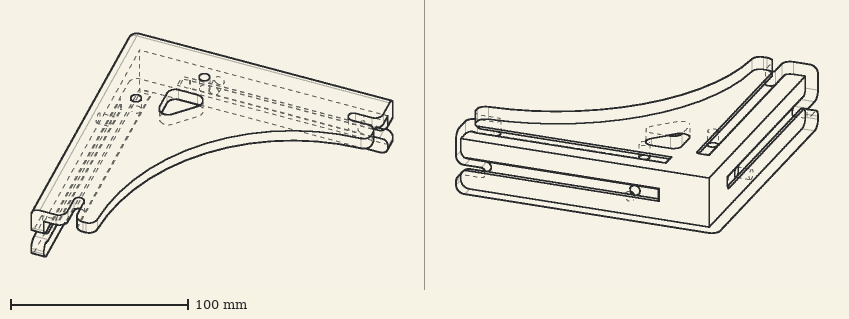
import cadquery as cq
import math


arm_length = 158.0
height = 38.0
thickness = 7.7
outer_round = 5.0
tip_round = 5.0
arm_width = height
cutout_radius = arm_length - arm_width

hole_diameter = 6.0
slot_width = hole_diameter
line_offset = 23.0
hole_position = 53.0
slot_position = 143.0

rib_height = 1.0
rib_width = slot_width + 2 * rib_height
rib_start = 37.9

window_offset = 37.9
window_leg = 28.6
window_round = 5.0


def mirror_to_other_arm(shape):
    """Reflect a shape about the plane y = -x."""
    origin = (0, 0, 0)
    return shape.mirror("XZ").rotate(origin, (0, 0, 1), -90)


def plate_plane(z):
    """Plane facing down at height z, on the centre line of the X arm."""
    return cq.Plane(origin=(0, -line_offset, z), xDir=(1, 0, 0), normal=(0, 0, -1))


def wall_plane(y):
    """Plane facing -Y at depth y, on the centre line of the wall along X."""
    return cq.Plane(origin=(0, y, height - line_offset), xDir=(1, 0, 0), normal=(0, -1, 0))


def make_body():
    body = cq.Workplane("XY").box(arm_length, arm_length, height, centered=False)
    body = body.translate((0, -arm_length, 0))
    outer_edges = "(<X and >Y) or (<X and >Z) or (>Y and >Z)"
    body = body.edges(outer_edges).fillet(outer_round)

    inside = cq.Workplane("XY").box(arm_length, arm_length, height - thickness, centered=False)
    body = body.cut(inside.translate((thickness, -arm_length - thickness, 0)))

    cutout = cq.Workplane("XY").center(arm_length, -arm_length).circle(cutout_radius).extrude(height)
    body = body.cut(cutout)

    plate_middle = height - thickness / 2
    plate_tips = [
        (arm_length, -arm_width, plate_middle),
        (arm_width, -arm_length, plate_middle),
    ]
    wall_tips = [(arm_length, -thickness / 2, 0), (thickness / 2, -arm_length, 0)]
    for tip in plate_tips + wall_tips:
        body = body.edges(cq.selectors.NearestToPointSelector(tip)).fillet(tip_round)
    return body


def make_rib(base_plane):
    """Rib with 45 degree sides and inner end, running square out to the arm's end."""
    length = arm_length - rib_start
    tapered_length = length + rib_height
    rib = (
        cq.Workplane(base_plane)
        .center(rib_start + tapered_length / 2, 0)
        .rect(tapered_length, rib_width)
        .extrude(rib_height, taper=45)
    )
    beyond_end = cq.Workplane("YZ", origin=(arm_length, 0, 0))
    overrun = beyond_end.rect(2 * arm_length, 2 * arm_length).extrude(rib_height)
    return rib.cut(overrun)


def make_openings(base_plane):
    """Hole and flared open slot, cut through one plate or wall and its rib."""
    depth = thickness + rib_height
    half = slot_width / 2
    flare_start = arm_length - tip_round
    flare_half = half + tip_round
    arc_along = flare_start + tip_round * math.sin(math.pi / 4)
    arc_across = flare_half - tip_round * math.cos(math.pi / 4)
    slot = (
        cq.Workplane(base_plane)
        .moveTo(slot_position, half)
        .lineTo(flare_start, half)
        .threePointArc((arc_along, arc_across), (arm_length, flare_half))
        .lineTo(arm_length, -flare_half)
        .threePointArc((arc_along, -arc_across), (flare_start, -half))
        .lineTo(slot_position, -half)
        .threePointArc((slot_position - half, 0), (slot_position, half))
        .close()
        .extrude(depth)
    )
    hole = cq.Workplane(base_plane).center(hole_position, 0).circle(hole_diameter / 2).extrude(depth)
    return slot.union(hole)


def make_window():
    near = window_offset
    far = window_offset + window_leg
    window = cq.Workplane("XY").polyline([(near, -near), (far, -near), (near, -far)]).close()
    return window.extrude(height).edges("|Z").fillet(window_round)


ribs = make_rib(plate_plane(height - thickness)).union(make_rib(wall_plane(-thickness)))
openings = make_openings(plate_plane(height)).union(make_openings(wall_plane(0)))

result = make_body()
result = result.union(ribs).union(mirror_to_other_arm(ribs))
result = result.cut(openings).cut(mirror_to_other_arm(openings))
result = result.cut(make_window())